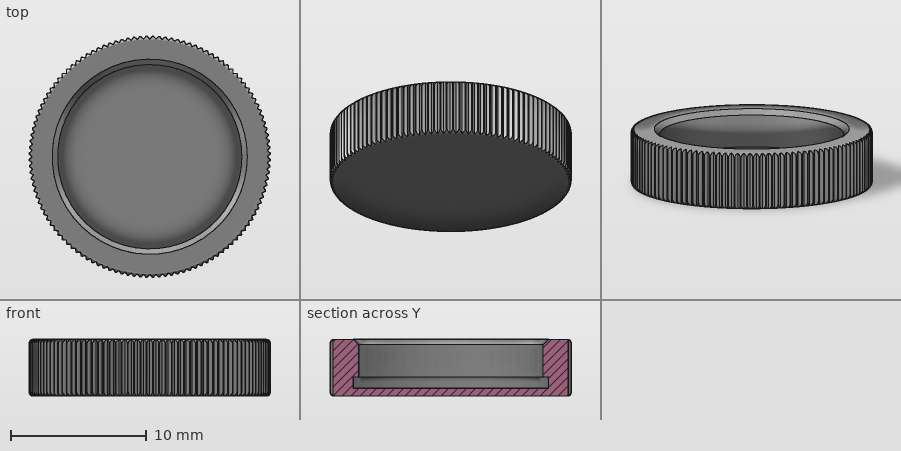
import cadquery as cq
import math

outer_radius = 8.9
height = 4.2
rim_fillet = 0.3

groove_count = 120
groove_depth = 0.2
groove_half_angle = 45

pocket_radius = 6.8
mouth_chamfer = 0.4
undercut_depth = 0.4
undercut_height = 0.8
floor_thickness = 0.6

cutter_overrun = 0.3


def rounded_disc():
    """Plain disc with both rim edges rounded."""
    disc = cq.Workplane("XY").circle(outer_radius).extrude(height)
    return disc.faces("<Z or >Z").edges().fillet(rim_fillet)


def wedge_prism(tip_x, end_x, half_angle):
    """Full-height triangular prism that opens along +X from a tip on the X axis."""
    half_width = (end_x - tip_x) * math.tan(half_angle)
    corners = [(tip_x, 0), (end_x, -half_width), (end_x, half_width)]
    return cq.Workplane("XY").polyline(corners).close().extrude(height)


def knurled_disc():
    """Rounded disc built from equal sectors, each with one groove along its middle."""
    pitch_angle = 360 / groove_count
    root_radius = outer_radius - groove_depth
    cutter_end = outer_radius + cutter_overrun

    sector_bounds = wedge_prism(0, cutter_end, math.radians(pitch_angle / 2))
    groove = wedge_prism(root_radius, cutter_end, math.radians(groove_half_angle))
    sector = rounded_disc().intersect(sector_bounds).cut(groove).val()

    sectors = []
    for index in range(groove_count):
        sectors.append(sector.rotate((0, 0, 0), (0, 0, 1), index * pitch_angle))
    joined = sectors[0].fuse(*sectors[1:], glue=True).clean()
    return cq.Workplane("XY").newObject(joined.Solids())


def pocket():
    """Turned pocket, revolved about Z."""
    mouth_radius = pocket_radius + mouth_chamfer
    undercut_radius = pocket_radius + undercut_depth
    undercut_top = floor_thickness + undercut_height
    profile = [
        (0, floor_thickness),
        (undercut_radius, floor_thickness),
        (undercut_radius, undercut_top),
        (pocket_radius, undercut_top),
        (pocket_radius, height - mouth_chamfer),
        (mouth_radius, height),
        (0, height),
    ]
    return cq.Workplane("XZ").polyline(profile).close().revolve(360, (0, 0, 0), (0, 1, 0))


result = knurled_disc().cut(pocket())